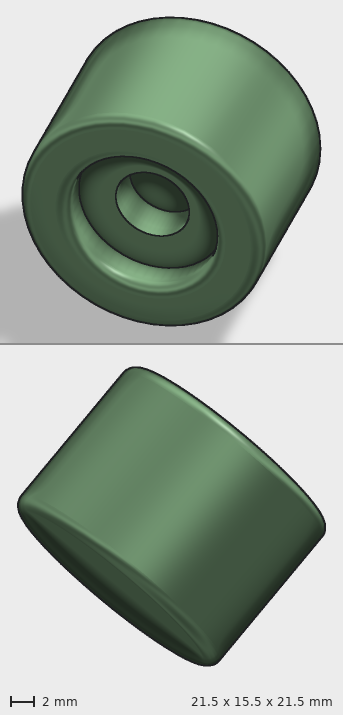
import cadquery as cq

outer_diameter = 21.5
length = 15.5
edge_radius = 1.0

recess_diameter = 13.0
recess_depth = 3.0
hole_diameter = 6.5
hole_depth = 3.5

front_y = -length / 2
recess_floor_y = front_y + recess_depth


def cylinder_along_y(diameter, start_y, depth):
    """Cylinder about the Y axis, running from start_y toward +Y."""
    start_plane = cq.Workplane("XZ", origin=(0, start_y, 0))
    return start_plane.circle(diameter / 2).extrude(-depth)


body = cylinder_along_y(outer_diameter, front_y, length).edges("%CIRCLE").fillet(edge_radius)

body = body.cut(cylinder_along_y(recess_diameter, front_y, recess_depth))
body = body.faces("<Y").edges(cq.selectors.RadiusNthSelector(0)).fillet(edge_radius)

result = body.cut(cylinder_along_y(hole_diameter, recess_floor_y, hole_depth))